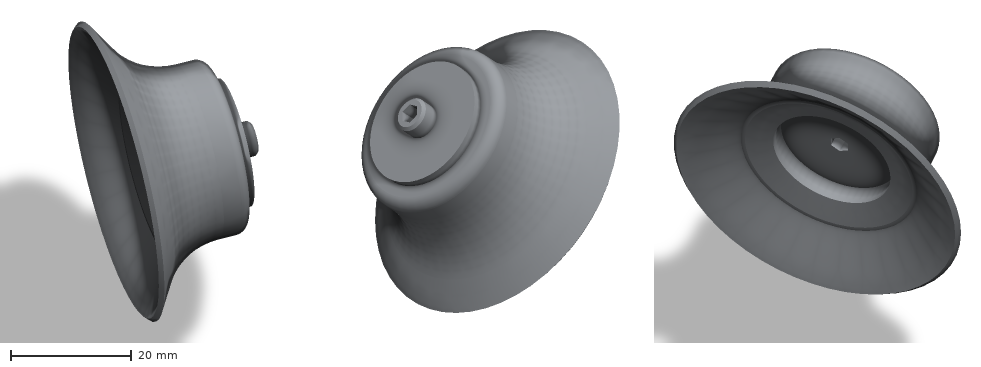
import cadquery as cq
import math


rim_diameter = 51.5
mouth_diameter = 50.0
body_diameter = 30.0
rim_y = (rim_diameter - mouth_diameter) / 2
flare_start_y = 3.8
neck_y = 14.5
back_y = 19.5
back_fillet = 1.9
flare_radius = 12.5

step_outer_diameter = 31.5
step_inner_diameter = 30.0
step_y = 5.8
pocket_diameter = 21.0
pocket_mouth_y = 7.2
pocket_floor_y = 10.65

flange_diameter = 22.0
flange_thickness = 1.6
stud_diameter = 6.0
overall_length = 24.5
stud_chamfer = 0.5

hex_across_flats = 3.0


def make_cup():
    """Revolve the outer outline and the stepped hollow of the cup."""
    body_radius = body_diameter / 2
    arc_center_r = body_radius + flare_radius
    sweep = math.asin((neck_y - flare_start_y) / flare_radius)
    flare_start = (arc_center_r - flare_radius * math.cos(sweep), flare_start_y)
    flare_middle = (
        arc_center_r - flare_radius * math.cos(sweep / 2),
        neck_y - flare_radius * math.sin(sweep / 2),
    )
    fillet_middle = back_fillet * (1 - math.sqrt(0.5))
    outline = (
        cq.Workplane("XY")
        .moveTo(mouth_diameter / 2, 0)
        .lineTo(rim_diameter / 2, rim_y)
        .lineTo(*flare_start)
        .threePointArc(flare_middle, (body_radius, neck_y))
        .lineTo(body_radius, back_y - back_fillet)
        .threePointArc(
            (body_radius - fillet_middle, back_y - fillet_middle),
            (body_radius - back_fillet, back_y),
        )
        .lineTo(0, back_y)
        .lineTo(0, pocket_floor_y)
        .lineTo(pocket_diameter / 2, pocket_floor_y)
        .lineTo(pocket_diameter / 2, pocket_mouth_y)
        .lineTo(step_inner_diameter / 2, step_y)
        .lineTo(step_outer_diameter / 2, step_y)
        .close()
    )
    return outline.revolve(360, (0, 0), (0, 1))


def cylinder_along_y(diameter, start_y, end_y):
    """Cylinder on the Y axis between two positions."""
    plane = cq.Workplane("XZ", origin=(0, start_y, 0))
    return plane.circle(diameter / 2).extrude(start_y - end_y)


def make_flange():
    return cylinder_along_y(flange_diameter, back_y, back_y + flange_thickness)


def make_stud():
    stud = cylinder_along_y(stud_diameter, back_y, overall_length)
    return stud.faces(">Y").chamfer(stud_chamfer)


def make_hex_hole():
    """Hexagonal prism running the full length of the part."""
    across_corners = hex_across_flats / math.cos(math.pi / 6)
    return (
        cq.Workplane("XZ")
        .transformed(rotate=(0, 0, 90))
        .polygon(6, across_corners)
        .extrude(-overall_length)
    )


result = make_cup().union(make_flange()).union(make_stud()).cut(make_hex_hole())